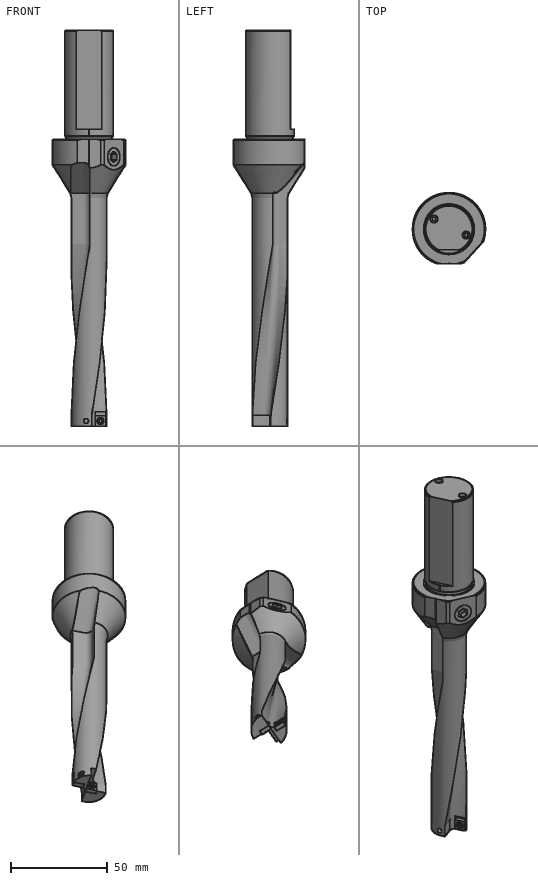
import cadquery as cq
import math


total_height = 206.31
shank_length = 56.8
collar_top = total_height - shank_length
collar_bottom = collar_top - 13.4
cone_bottom = collar_bottom - 14.8
neck_bottom = cone_bottom - 2.4

shank_radius = 25.4 / 2
collar_radius = 38.1 / 2
cone_small_radius = 9.8
drill_radius = 18.5 / 2
undercut_radius = shank_radius - 0.6
undercut_height = 1.2
edge_chamfer = 0.6
relief_radius = 13.2
relief_depth = 0.5

shank_flat_distance = 10.75
shank_flat_length = 51.6
shank_step_height = shank_length - shank_flat_length - undercut_height
collar_flat_distance = 37.1 - collar_radius
plug_flat_distance = 17.5
plug_flat_azimuth = -42.5

mark_width = 0.5
mark_depth = 0.3

flute_count = 2
flute_spacing = 360 / flute_count
web_offset = 1.5
seat_offset = 0.5
flute_fillet = 3.3
flute_depth_limit = 2 * drill_radius
flute_twist = 90
twist_start = 6
twist_end = 95
runout_tilt = 46
runout_width = 9.9
runout_length = 60

coolant_circle_radius = 9.45
coolant_azimuths = (146, -19)
coolant_mouth_diameter = 3.9
coolant_mouth_depth = 2
coolant_diameter = 2
coolant_depth = 30

plug_diameter = 9.4
plug_length = 7
plug_socket_flats = 4.76
plug_socket_depth = 3.5
plug_height = total_height - 66

insert_size = 5.6
insert_corner_radius = 0.5
insert_thickness = 2.4
outer_insert_center = 5.95
inner_insert_center = 1.5
outer_pocket_clearance = 1.9
inner_pocket_clearance = 0.3
screw_head_diameter = 3.6
screw_diameter = 2.5
screw_head_depth = 1.2
screw_length = 5.5
screw_socket_flats = 1.6
screw_socket_depth = 1


def hexagon_diameter(across_flats):
    return across_flats / math.cos(math.pi / 6)


def spin(shape, angle):
    return shape.rotate((0, 0, 0), (0, 0, 1), angle)


def blank():
    """Turned blank: drill, neck, cone, collar with a face relief, undercut and shank."""
    return (
        cq.Workplane("XZ")
        .moveTo(0, 0)
        .lineTo(drill_radius, 0)
        .lineTo(drill_radius, neck_bottom)
        .lineTo(cone_small_radius, cone_bottom)
        .lineTo(collar_radius, collar_bottom)
        .lineTo(collar_radius, collar_top - edge_chamfer)
        .lineTo(collar_radius - edge_chamfer, collar_top)
        .lineTo(relief_radius, collar_top)
        .lineTo(relief_radius, collar_top - relief_depth)
        .lineTo(undercut_radius, collar_top - relief_depth)
        .lineTo(undercut_radius, collar_top + undercut_height)
        .lineTo(shank_radius, collar_top + undercut_height + edge_chamfer)
        .lineTo(shank_radius, total_height - edge_chamfer)
        .lineTo(shank_radius - edge_chamfer, total_height)
        .lineTo(0, total_height)
        .close()
        .revolve(360, (0, 0), (0, 1))
    )


def flat_cut(distance, bottom, height, azimuth):
    """Block that leaves a flat at a distance from the axis, facing the azimuth."""
    block = (
        cq.Workplane("XY")
        .workplane(offset=bottom)
        .box(collar_radius, 2 * collar_radius, height, centered=(False, True, False))
    )
    return spin(block.translate((distance, 0, 0)), azimuth)


def timing_mark(distance, bottom, height):
    """Narrow slot along Z in a surface that lies at a distance from the axis toward -Y."""
    return (
        cq.Workplane("XY")
        .box(mark_width, collar_radius, height, centered=(True, False, False))
        .translate((0, mark_depth - distance - collar_radius, bottom))
    )


def flute_section(height):
    """Section of one flute at the tip, open toward +X and -Y."""
    return (
        cq.Workplane("XY")
        .workplane(offset=height)
        .moveTo(web_offset, -flute_depth_limit)
        .lineTo(web_offset, seat_offset - flute_fillet)
        .radiusArc((web_offset + flute_fillet, seat_offset), flute_fillet)
        .lineTo(flute_depth_limit, seat_offset)
        .lineTo(flute_depth_limit, -flute_depth_limit)
        .close()
    )


def flute_runout():
    """Slanted end of a flute, which climbs outward through the cone toward +X."""
    section = (
        cq.Workplane("XY")
        .rect(collar_radius + runout_length, runout_width)
        .extrude(runout_length)
        .translate(((collar_radius + runout_length) / 2, 0, 0))
        .edges("|Z and <X and >Y")
        .fillet(flute_fillet)
    )
    lean = math.tan(math.radians(runout_tilt))
    shear = cq.Matrix([[1, 0, lean, 0], [0, 1, 0, 0], [0, 0, 1, 0], [0, 0, 0, 1]])
    sheared = section.val().transformGeometry(shear)
    wall_center = seat_offset - runout_width / 2
    return cq.Workplane("XY").newObject([sheared]).translate((web_offset, wall_center, cone_bottom))


def flute_cut():
    straight_tip = flute_section(0).extrude(twist_start)
    helix = flute_section(twist_start).twistExtrude(twist_end - twist_start, flute_twist)
    straight_top = flute_section(twist_end).extrude(cone_bottom - twist_end)
    return [
        straight_tip,
        helix,
        spin(straight_top, flute_twist),
        spin(flute_runout(), flute_twist),
    ]


def insert_pocket(center, clearance):
    """Recess behind an insert that faces -Y, open to the flute and to the tip."""
    height = insert_size + clearance
    depth = insert_thickness + drill_radius
    return (
        cq.Workplane("XY")
        .box(insert_size, depth, height, centered=(True, False, False))
        .translate((center, insert_thickness - depth, 0))
    )


def screw_envelope(center):
    """Insert screw without its socket; the head is flush with the insert face at Y = 0."""
    head_radius = screw_head_diameter / 2
    radius = screw_diameter / 2
    return (
        cq.Workplane("XY")
        .lineTo(head_radius, 0)
        .lineTo(radius, screw_head_depth)
        .lineTo(radius, screw_length)
        .lineTo(0, screw_length)
        .close()
        .revolve(360, (0, 0), (0, 1))
        .translate((center, 0, insert_size / 2))
    )


def insert_screw(center):
    socket = (
        cq.Workplane("XZ")
        .polygon(6, hexagon_diameter(screw_socket_flats))
        .extrude(-screw_socket_depth)
        .translate((center, 0, insert_size / 2))
    )
    return screw_envelope(center).cut(socket)


def cutting_insert(center):
    """Square insert with rounded corners, its cutting face at Y = 0 facing -Y."""
    return (
        cq.Workplane("XY")
        .box(insert_size, insert_thickness, insert_size, centered=(True, False, False))
        .edges("|Y")
        .fillet(insert_corner_radius)
        .translate((center, 0, 0))
        .cut(screw_envelope(center))
    )


def screw_hole(center):
    """Hole for an insert screw, which runs on through the wall of the drill."""
    return (
        cq.Workplane("XZ")
        .center(center, insert_size / 2)
        .circle(screw_diameter / 2)
        .extrude(-2 * drill_radius)
    )


def plug_space():
    """Cylinder filled by the pipe plug, along +X before it is turned to its azimuth."""
    return (
        cq.Workplane("YZ")
        .workplane(offset=plug_flat_distance - plug_length)
        .center(0, plug_height)
        .circle(plug_diameter / 2)
        .extrude(plug_length)
    )


def pipe_plug():
    socket = (
        cq.Workplane("YZ")
        .workplane(offset=plug_flat_distance - plug_socket_depth)
        .center(0, plug_height)
        .polygon(6, hexagon_diameter(plug_socket_flats))
        .extrude(plug_socket_depth)
        .rotate((0, 0, plug_height), (1, 0, plug_height), 90)
    )
    return spin(plug_space().cut(socket), plug_flat_azimuth)


def coolant_holes():
    points = [
        (
            coolant_circle_radius * math.cos(math.radians(azimuth)),
            coolant_circle_radius * math.sin(math.radians(azimuth)),
        )
        for azimuth in coolant_azimuths
    ]
    top = cq.Workplane("XY").workplane(offset=total_height).pushPoints(points)
    mouths = top.circle(coolant_mouth_diameter / 2).extrude(-coolant_mouth_depth)
    bores = top.circle(coolant_diameter / 2).extrude(-coolant_depth)
    return mouths.union(bores)


insert_stations = [
    (outer_insert_center, outer_pocket_clearance, 0),
    (inner_insert_center, inner_pocket_clearance, flute_spacing),
]

holder = (
    blank()
    .cut(flat_cut(shank_flat_distance, total_height - shank_flat_length, shank_flat_length, -90))
    .cut(flat_cut(collar_flat_distance, cone_bottom, collar_top - cone_bottom, -90))
    .cut(flat_cut(plug_flat_distance, cone_bottom, collar_top - cone_bottom, plug_flat_azimuth))
    .cut(timing_mark(collar_flat_distance, cone_bottom, collar_top - cone_bottom))
    .cut(timing_mark(shank_radius, collar_top + undercut_height, shank_step_height))
    .cut(spin(plug_space(), plug_flat_azimuth))
    .cut(coolant_holes())
)
for index in range(flute_count):
    for cutter in flute_cut():
        holder = holder.cut(spin(cutter, index * flute_spacing))
for center, clearance, azimuth in insert_stations:
    holder = holder.cut(spin(insert_pocket(center, clearance), azimuth))
    holder = holder.cut(spin(screw_hole(center), azimuth))

inserts = [spin(cutting_insert(center), azimuth) for center, _, azimuth in insert_stations]
screws = [spin(insert_screw(center), azimuth) for center, _, azimuth in insert_stations]

result = cq.Compound.makeCompound(
    [
        holder.val(),
        pipe_plug().val(),
        *[insert.val() for insert in inserts],
        *[screw.val() for screw in screws],
    ]
)